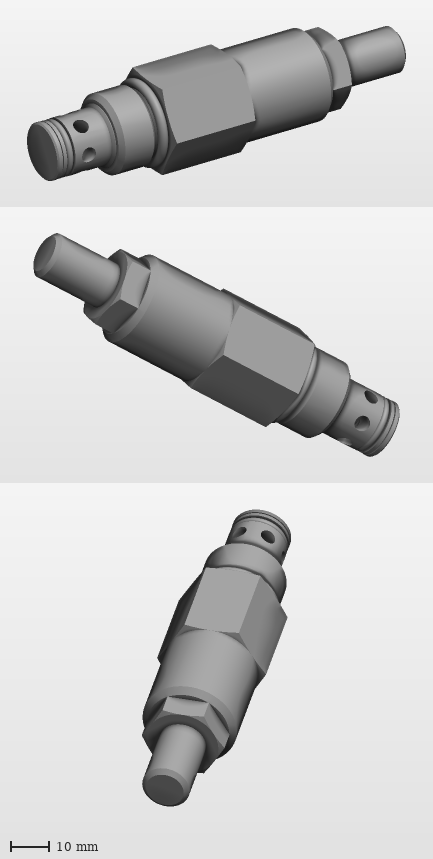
import cadquery as cq
import math

LENGTH = 108.9

NOSE_DIAMETER = 15.9
NOSE_CHAMFER = 0.4
NOSE_END = 16.4
GROOVE_DIAMETER = 13.3
SEAL_GROOVE_START = 1.5
SEAL_GROOVE_END = 5.3
SEAL_DIAMETER = 15.8
SEAL_CENTRE = 4.1
SEAL_CORD = 2.0
BACKUP_DIAMETER = 15.8
BACKUP_START = 1.9
BACKUP_END = 2.8
HOLE_COUNT = 6
HOLE_DIAMETER = 4.2
HOLE_STATION = 9.5

COLLAR_DIAMETER = 22.2
COLLAR_START = 17.4
TAPER_END = 17.2
COLLAR_END = 28.9
COLLAR_STEP_DIAMETER = 17.4
COLLAR_CHAMFER = 1.3
NECK_DIAMETER = 19.6

HEX_FLATS = 25.4
HEX_START = 31.9
HEX_LENGTH = 25.4
HEX_FRONT_ANGLE = 15.0
HEX_BACK_ANGLE = 20.0
RING_DIAMETER = 24.3
RING_CORD = 2.7

BODY_DIAMETER = HEX_FLATS
BODY_END = 82.7
BODY_CHAMFER = 1.6

NUT_FLATS = 19.3
NUT_LENGTH = 6.4
NUT_FRONT_ANGLE = 0.0
NUT_BACK_ANGLE = 25.0
STUD_DIAMETER = 12.7
STUD_CHAMFER_LENGTH = 1.1
STUD_CHAMFER_DEPTH = 1.3


def cylinder(diameter, start, end):
    """Solid cylinder on the Y axis between two stations."""
    plane = cq.Workplane("XZ", origin=(0, start, 0))
    return plane.circle(diameter / 2).extrude(start - end)


def revolved(points):
    """Solid of revolution about the Y axis from (radius, station) outline points."""
    return cq.Workplane("XY").polyline(points).close().revolve(360, (0, 0), (0, 1))


def ring(outer_diameter, cord, centre):
    """Round-section ring on the Y axis."""
    cord_centre = (outer_diameter - cord) / 2
    section = cq.Workplane("XY").center(-cord_centre, centre).circle(cord / 2)
    return section.revolve(360, (cord_centre, 0), (cord_centre, 1))


def hexagon(flats, start, length, front_angle, back_angle):
    """Hexagonal prism with two corners level along X and its end corners turned down by cones.

    Each angle, in degrees, is the slope of the cone at that end; zero leaves the end flat.
    """
    corners = flats / math.cos(math.radians(30))
    prism = cq.Workplane("XZ", origin=(0, start, 0)).polygon(6, corners).extrude(-length)
    overhang = (corners - flats) / 2
    front_drop = overhang * math.tan(math.radians(front_angle))
    back_drop = overhang * math.tan(math.radians(back_angle))
    end = start + length
    envelope = revolved([
        (0, start),
        (flats / 2, start),
        (corners / 2, start + front_drop),
        (corners / 2, end - back_drop),
        (flats / 2, end),
        (0, end),
    ])
    return prism.intersect(envelope)


def make_nose():
    nose = cylinder(NOSE_DIAMETER, 0, COLLAR_START).faces("<Y").chamfer(NOSE_CHAMFER)
    groove_floor = cylinder(GROOVE_DIAMETER, SEAL_GROOVE_START, SEAL_GROOVE_END)
    groove = cylinder(NOSE_DIAMETER, SEAL_GROOVE_START, SEAL_GROOVE_END).cut(groove_floor)
    nose = nose.cut(groove)
    nose = nose.union(ring(SEAL_DIAMETER, SEAL_CORD, SEAL_CENTRE))
    nose = nose.union(cylinder(BACKUP_DIAMETER, BACKUP_START, BACKUP_END))
    for index in range(HOLE_COUNT // 2):
        hole_plane = cq.Workplane("YZ").center(HOLE_STATION, 0)
        hole = hole_plane.circle(HOLE_DIAMETER / 2).extrude(NOSE_DIAMETER, both=True)
        nose = nose.cut(hole.rotate((0, 0, 0), (0, 1, 0), index * 360 / HOLE_COUNT))
    return nose


def make_collar():
    taper = revolved([
        (0, NOSE_END),
        (NOSE_DIAMETER / 2, NOSE_END),
        (COLLAR_STEP_DIAMETER / 2, TAPER_END),
        (COLLAR_STEP_DIAMETER / 2, COLLAR_START),
        (0, COLLAR_START),
    ])
    collar = cylinder(COLLAR_DIAMETER, COLLAR_START, COLLAR_END).edges().chamfer(COLLAR_CHAMFER)
    neck = cylinder(NECK_DIAMETER, COLLAR_END, HEX_START)
    seal = ring(RING_DIAMETER, RING_CORD, HEX_START - RING_CORD / 2)
    return collar.union(taper).union(neck).union(seal)


def make_body():
    hex_end = HEX_START + HEX_LENGTH
    body = cylinder(BODY_DIAMETER, hex_end, BODY_END).faces(">Y").chamfer(BODY_CHAMFER)
    return body.union(hexagon(HEX_FLATS, HEX_START, HEX_LENGTH, HEX_FRONT_ANGLE, HEX_BACK_ANGLE))


def make_adjuster():
    nut = hexagon(NUT_FLATS, BODY_END, NUT_LENGTH, NUT_FRONT_ANGLE, NUT_BACK_ANGLE)
    stud = cylinder(STUD_DIAMETER, BODY_END, LENGTH - STUD_CHAMFER_LENGTH)
    tip = revolved([
        (0, LENGTH - STUD_CHAMFER_LENGTH),
        (STUD_DIAMETER / 2, LENGTH - STUD_CHAMFER_LENGTH),
        (STUD_DIAMETER / 2 - STUD_CHAMFER_DEPTH, LENGTH),
        (0, LENGTH),
    ])
    return nut.union(stud).union(tip)


result = make_nose().union(make_collar()).union(make_body()).union(make_adjuster())